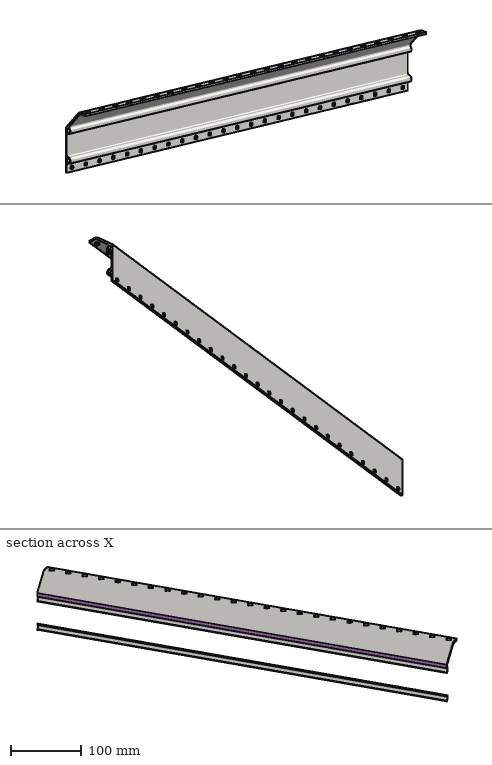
import cadquery as cq
import math

LENGTH = 628.65
WIDTH = 44.45
HEIGHT = 96.8375

THICKNESS = 3.175
FLANGE_WIDTH = 13.6
BEND_ANGLE = math.radians(45)
BEND_OUTER_RADIUS = 5.95
BEND_INNER_RADIUS = BEND_OUTER_RADIUS - THICKNESS

HOLE_PITCH = 25.4
HOLE_COUNT = 25
HOLE_EDGE_DISTANCE = 6.35
FLANGE_HOLE_DIAMETER = 7.11
WALL_HOLE_DIAMETER = 5.33

SCREW_HOLE_DIAMETER = 5.87
BOSS_DIAMETER = 9.9
BOSS_CENTER_X = 6.35
LOWER_BOSS_Z = 19.05
ROOT_FILLET_RADIUS = 2.54

SLOPE_RUN = WIDTH - FLANGE_WIDTH
WALL_HEIGHT = HEIGHT - SLOPE_RUN * math.tan(BEND_ANGLE)
CORNER_SHIFT = THICKNESS * math.tan(BEND_ANGLE / 2)
WALL_CORNER = (0, WALL_HEIGHT)
FLANGE_CORNER = (SLOPE_RUN, HEIGHT)
INNER_WALL_CORNER = (THICKNESS, WALL_HEIGHT - CORNER_SHIFT)
INNER_FLANGE_CORNER = (SLOPE_RUN + CORNER_SHIFT, HEIGHT - THICKNESS)

UPPER_BOSS_Z = WALL_HEIGHT - BOSS_CENTER_X * math.tan(BEND_ANGLE / 2)


def section_plane():
    """Sketch plane of the section at the +Y end; extruding runs toward -Y."""
    return cq.Workplane("XZ", origin=(0, LENGTH / 2, 0))


def bent_sheet():
    """Vertical wall, 45 degree slope and horizontal flange, with rounded bends."""
    sheet = (
        section_plane()
        .moveTo(0, 0)
        .lineTo(*WALL_CORNER)
        .lineTo(*FLANGE_CORNER)
        .lineTo(WIDTH, HEIGHT)
        .lineTo(WIDTH, HEIGHT - THICKNESS)
        .lineTo(*INNER_FLANGE_CORNER)
        .lineTo(*INNER_WALL_CORNER)
        .lineTo(THICKNESS, 0)
        .close()
        .extrude(LENGTH)
    )
    bends = (
        (WALL_CORNER, BEND_OUTER_RADIUS),
        (FLANGE_CORNER, BEND_OUTER_RADIUS),
        (INNER_FLANGE_CORNER, BEND_INNER_RADIUS),
        (INNER_WALL_CORNER, BEND_INNER_RADIUS),
    )
    for (x, z), radius in bends:
        bend_edge = cq.selectors.NearestToPointSelector((x, 0, z))
        sheet = sheet.edges(bend_edge).fillet(radius)
    return sheet


def mirrored(point, axis_angle):
    """Mirror a point about a line through the origin at the given angle."""
    u, v = point
    cosine = math.cos(2 * axis_angle)
    sine = math.sin(2 * axis_angle)
    return (u * cosine + v * sine, u * sine - v * cosine)


def screw_boss(center_z, axis_angle, sheet_corner):
    """Round rail and its root, blended into the sheet by a concave fillet on each side.

    The root is symmetric about a line through the boss centre at axis_angle to X.
    sheet_corner is where the sheet's inner faces meet behind the boss.
    Root points are relative to the boss centre.
    """
    boss_radius = BOSS_DIAMETER / 2
    fillet_x = THICKNESS + ROOT_FILLET_RADIUS - BOSS_CENTER_X
    centers_distance = boss_radius + ROOT_FILLET_RADIUS
    fillet_z = -math.sqrt(centers_distance**2 - fillet_x**2)
    on_wall = (THICKNESS - BOSS_CENTER_X, fillet_z)
    on_boss = (fillet_x * boss_radius / centers_distance, fillet_z * boss_radius / centers_distance)
    middle_angle = (math.pi + math.atan2(-fillet_z, -fillet_x)) / 2
    on_fillet = (
        fillet_x + ROOT_FILLET_RADIUS * math.cos(middle_angle),
        fillet_z + ROOT_FILLET_RADIUS * math.sin(middle_angle),
    )

    boss_sketch = section_plane().center(BOSS_CENTER_X, center_z)
    rail = boss_sketch.circle(boss_radius).extrude(LENGTH)
    root = (
        boss_sketch.moveTo(*on_wall)
        .threePointArc(on_fillet, on_boss)
        .lineTo(0, 0)
        .lineTo(*mirrored(on_boss, axis_angle))
        .threePointArc(mirrored(on_fillet, axis_angle), mirrored(on_wall, axis_angle))
        .lineTo(sheet_corner[0] - BOSS_CENTER_X, sheet_corner[1] - center_z)
        .close()
        .extrude(LENGTH)
    )
    return rail.union(root)


def screw_holes():
    """Holes through both bosses along the full length."""
    return (
        section_plane()
        .pushPoints([(BOSS_CENTER_X, LOWER_BOSS_Z), (BOSS_CENTER_X, UPPER_BOSS_Z)])
        .circle(SCREW_HOLE_DIAMETER / 2)
        .extrude(LENGTH)
    )


def hole_row_positions():
    """Y positions of the holes in a row, centred on the part."""
    first = -HOLE_PITCH * (HOLE_COUNT - 1) / 2
    return [first + i * HOLE_PITCH for i in range(HOLE_COUNT)]


def flange_holes():
    return (
        cq.Workplane("XY", origin=(WIDTH - HOLE_EDGE_DISTANCE, 0, HEIGHT - THICKNESS))
        .pushPoints([(0, y) for y in hole_row_positions()])
        .circle(FLANGE_HOLE_DIAMETER / 2)
        .extrude(THICKNESS)
    )


def wall_holes():
    return (
        cq.Workplane("YZ", origin=(0, 0, HOLE_EDGE_DISTANCE))
        .pushPoints([(y, 0) for y in hole_row_positions()])
        .circle(WALL_HOLE_DIAMETER / 2)
        .extrude(THICKNESS)
    )


lower_boss = screw_boss(LOWER_BOSS_Z, 0, (THICKNESS, LOWER_BOSS_Z))
upper_boss = screw_boss(UPPER_BOSS_Z, -BEND_ANGLE / 2, INNER_WALL_CORNER)
body = bent_sheet().union(lower_boss).union(upper_boss)
result = body.cut(screw_holes()).cut(flange_holes()).cut(wall_holes())